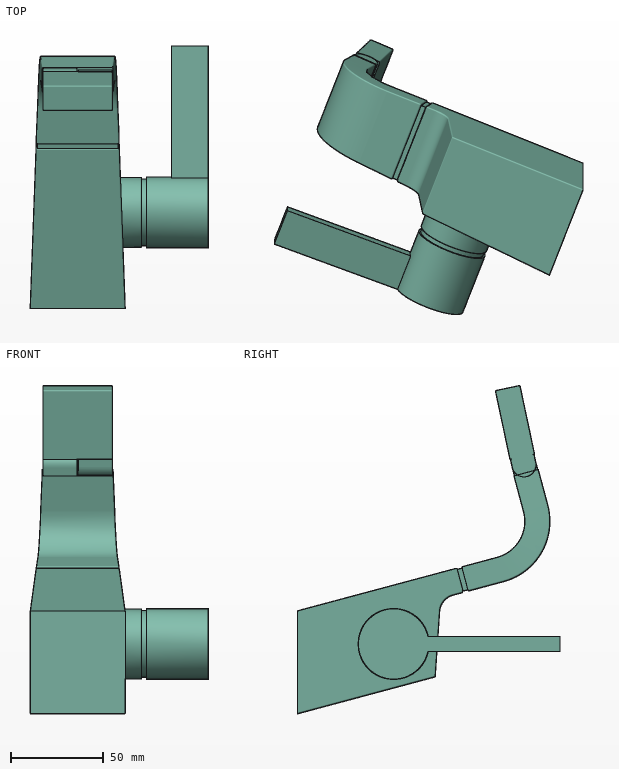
import cadquery as cq
import math


SLOPE = 15.0
EDGE_RADIUS = 0.7

FRONT_WIDTH = 51.5
FRONT_HEIGHT = 55.8
SIDE_TAPER = 2.1
HOUSING_LENGTH = 89.4
BACK_FOOT_Y = 74.7
BACK_TOP_Y = 77.5
THROAT_RADIUS = 9.8

ARM_THICKNESS = 13.7
ARM_START_WIDTH = 45.0
ARM_END_WIDTH = 38.4
NECK_LENGTH = 2.7
NECK_INSET = 0.7
BEND_START = 112.0
BEND_INNER_RADIUS = 20.0
UPPER_LEG_LENGTH = 20.0

HINGE_WIDTH = 37.7
HINGE_GAP = 0.5
HINGE_RADIUS = 6.5
TONGUE_ROOT = 1.8
SHOULDER_DISTANCE = 4.5

HEAD_TILT = 12.0
HEAD_LENGTH = 42.5

HANDLE_Y = 52.0
HANDLE_Z = 37.9
COLLAR_RADIUS = 19.0
COLLAR_END_X = 34.7
GROOVE_RADIUS = 18.1
KNOB_START_X = 37.1
KNOB_END_X = 70.7
KNOB_RADIUS = 19.2
LEVER_WIDTH = 20.0
LEVER_THICKNESS = 8.4
LEVER_END_Y = 142.2

slope_tan = math.tan(math.radians(SLOPE))
slope_cos = math.cos(math.radians(SLOPE))
arm_start = HOUSING_LENGTH + NECK_LENGTH
bend_radius = BEND_INNER_RADIUS + ARM_THICKNESS / 2
upper_leg_u = BEND_START + bend_radius
arm_end_v = BEND_INNER_RADIUS + UPPER_LEG_LENGTH
hinge_v = arm_end_v + SHOULDER_DISTANCE


def side_plane(origin_y, origin_z, tilt):
    """YZ plane at x = 0 whose first axis rises by `tilt` degrees from +Y."""
    angle = math.radians(tilt)
    return cq.Plane(
        origin=(0, origin_y, origin_z),
        xDir=(0, math.cos(angle), math.sin(angle)),
        normal=(1, 0, 0),
    )


spout_plane = side_plane(0, FRONT_HEIGHT, SLOPE)
hinge_axis = spout_plane.toWorldCoords((upper_leg_u, hinge_v, 0))
head_plane = side_plane(hinge_axis.y, hinge_axis.z, HEAD_TILT)
left_half = (-HINGE_WIDTH / 2, -HINGE_GAP / 2)
right_half = (HINGE_GAP / 2, HINGE_WIDTH / 2)


def spout_point(u, v):
    """Y and Z of a point given in the spout plane."""
    point = spout_plane.toWorldCoords((u, v, 0))
    return point.y, point.z


def box_on(plane, x_range, u_range, v_range):
    """Box spanning the given ranges of X, u and v."""
    return (
        cq.Workplane(plane)
        .workplane(offset=x_range[0])
        .moveTo(u_range[0], v_range[0])
        .lineTo(u_range[1], v_range[0])
        .lineTo(u_range[1], v_range[1])
        .lineTo(u_range[0], v_range[1])
        .close()
        .extrude(x_range[1] - x_range[0])
    )


def x_cylinder(radius, x_range, y, z):
    """Cylinder along X centred on (y, z)."""
    return (
        cq.Workplane("YZ", origin=(x_range[0], 0, 0))
        .center(y, z)
        .circle(radius)
        .extrude(x_range[1] - x_range[0])
    )


def hinge_cylinder(x_range):
    """Cylinder about the hinge axis."""
    return x_cylinder(HINGE_RADIUS, x_range, hinge_axis.y, hinge_axis.z)


def hinge_tongue(plane, axis_u, x_range, v_range):
    """Half-width tongue with a round end about the hinge axis and softened side edges."""
    u_range = (axis_u - HINGE_RADIUS, axis_u + HINGE_RADIUS)
    tongue = box_on(plane, x_range, u_range, v_range).union(hinge_cylinder(x_range))
    return tongue.faces("<X or >X").edges().fillet(EDGE_RADIUS)


def make_housing():
    """Sloping block, tapered in plan, with a concave throat under its rear end."""
    throat_z = FRONT_HEIGHT + BACK_TOP_Y * slope_tan - ARM_THICKNESS / slope_cos
    blank = (
        cq.Workplane("YZ")
        .polyline([
            (0, 0),
            (0, FRONT_HEIGHT),
            spout_point(HOUSING_LENGTH, 0),
            spout_point(HOUSING_LENGTH, -ARM_THICKNESS),
            (BACK_TOP_Y, throat_z),
            (BACK_FOOT_Y, BACK_FOOT_Y * slope_tan),
        ])
        .close()
        .extrude(FRONT_WIDTH / 2, both=True)
    )
    corner = cq.selectors.NearestToPointSelector((0, BACK_TOP_Y, throat_z))
    blank = blank.edges("|X").edges(corner).fillet(THROAT_RADIUS)

    plan_length = HOUSING_LENGTH
    plan_height = 2 * FRONT_HEIGHT
    end_half_width = FRONT_WIDTH / 2 - plan_length * math.tan(math.radians(SIDE_TAPER))
    plan = (
        cq.Workplane("XY")
        .polyline([
            (-FRONT_WIDTH / 2, 0),
            (FRONT_WIDTH / 2, 0),
            (end_half_width, plan_length),
            (-end_half_width, plan_length),
        ])
        .close()
        .extrude(plan_height)
    )
    housing = blank.intersect(plan)
    return housing.edges("not(<Y)").fillet(EDGE_RADIUS)


def arm_section(u, v, width, direction):
    """Rectangular arm cross-section centred at (u, v) and facing along `direction`."""
    plane = cq.Plane(
        origin=spout_plane.toWorldCoords((u, v, 0)),
        xDir=(1, 0, 0),
        normal=direction,
    )
    return cq.Workplane(plane).rect(width, ARM_THICKNESS).wires().val()


def make_arm():
    """Tapering bar bent through a right angle, with a groove at its foot and half a hinge on top."""
    mid_v = -ARM_THICKNESS / 2
    diagonal = bend_radius * math.cos(math.radians(45))
    path = (
        cq.Workplane(spout_plane)
        .moveTo(arm_start, mid_v)
        .lineTo(BEND_START, mid_v)
        .threePointArc(
            (BEND_START + diagonal, BEND_INNER_RADIUS - diagonal),
            (upper_leg_u, BEND_INNER_RADIUS),
        )
        .lineTo(upper_leg_u, arm_end_v)
        .wire()
        .val()
    )
    start = arm_section(arm_start, mid_v, ARM_START_WIDTH, spout_plane.xDir)
    end = arm_section(upper_leg_u, arm_end_v, ARM_END_WIDTH, spout_plane.yDir)
    bar = cq.Workplane(cq.Solid.sweep_multi([start, end], path))
    shoulder_edges = cq.selectors.DirectionMinMaxSelector(spout_plane.yDir, True)
    bar = bar.edges(cq.selectors.InverseSelector(shoulder_edges)).fillet(EDGE_RADIUS)

    neck_half_width = ARM_START_WIDTH / 2 - NECK_INSET
    neck = box_on(
        spout_plane,
        (-neck_half_width, neck_half_width),
        (HOUSING_LENGTH, arm_start),
        (NECK_INSET - ARM_THICKNESS, -NECK_INSET),
    )
    socket = hinge_cylinder((-HINGE_GAP / 2, ARM_END_WIDTH / 2))
    tongue = hinge_tongue(spout_plane, upper_leg_u, left_half, (arm_end_v - TONGUE_ROOT, hinge_v))
    return bar.union(neck).cut(socket).union(tongue)


def make_head():
    """Tilted block that carries the other half of the hinge."""
    half_width = HINGE_WIDTH / 2
    half_thickness = ARM_THICKNESS / 2
    block = box_on(
        head_plane,
        (-half_width, half_width),
        (-half_thickness, half_thickness),
        (SHOULDER_DISTANCE, HEAD_LENGTH),
    )
    shoulder_edges = cq.selectors.DirectionMinMaxSelector(head_plane.yDir, False)
    block = block.edges(cq.selectors.InverseSelector(shoulder_edges)).fillet(EDGE_RADIUS)
    socket = hinge_cylinder((-half_width, HINGE_GAP / 2))
    tongue = hinge_tongue(head_plane, 0, right_half, (0, SHOULDER_DISTANCE + TONGUE_ROOT))
    return block.cut(socket).union(tongue)


def make_collar(housing):
    """Ring that seats against the leaning housing side and carries the narrower groove."""
    collar = x_cylinder(COLLAR_RADIUS, (0, COLLAR_END_X), HANDLE_Y, HANDLE_Z)
    collar = collar.edges(">X").fillet(EDGE_RADIUS)
    groove = x_cylinder(GROOVE_RADIUS, (COLLAR_END_X, KNOB_START_X), HANDLE_Y, HANDLE_Z)
    return collar.union(groove).cut(housing)


def make_handle():
    """Knob with a flat lever reaching backwards."""
    knob = x_cylinder(KNOB_RADIUS, (KNOB_START_X, KNOB_END_X), HANDLE_Y, HANDLE_Z)
    lever_length = LEVER_END_Y - HANDLE_Y
    lever = cq.Workplane("XY").box(LEVER_WIDTH, lever_length, LEVER_THICKNESS).translate((
        KNOB_END_X - LEVER_WIDTH / 2,
        HANDLE_Y + lever_length / 2,
        HANDLE_Z,
    ))
    return knob.union(lever)


housing = make_housing()
arm = make_arm()
head = make_head()
collar = make_collar(housing)
handle = make_handle()

result = cq.Compound.makeCompound([
    housing.val(),
    arm.val(),
    head.val(),
    collar.val(),
    handle.val(),
])